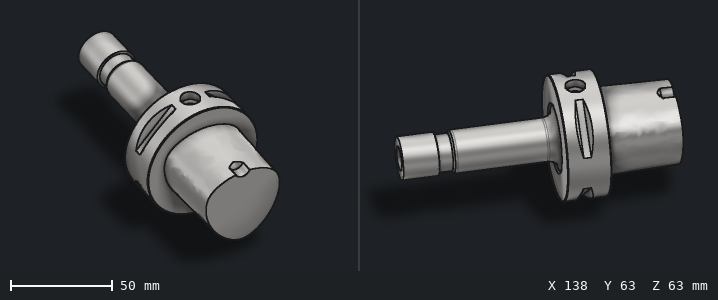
import cadquery as cq
import math


total_length = 138.0
flange_start = 78.0
flange_width = 22.1
flange_end = flange_start + flange_width
taper_length = total_length - flange_end

shank_diameter = 22.0
shank_radius = shank_diameter / 2
head_length = 18.1
neck_radius = 19.0 / 2
neck_end = 25.1
shoulder_radius = 19.7 / 2
lead_in_length = 1.0
lead_in_radius = 10.6
lead_in_end = 27.2
relief_start = 72.2
fillet_start = 73.1
fillet_foot_radius = 21.8 / 2

flange_diameter = 63.0
flange_radius = flange_diameter / 2
flange_chamfer = 0.4
fillet_radius = 5.7
face_recess_radius = 17.5

bore_radius = 12.3 / 2
bore_depth = 3.5
bore_step_length = 0.5
drill_radius = 11.3 / 2
drill_depth = 19.3
drill_tip_angle = 118.0

taper_mean_radius = 22.1
taper_lobe = 1.4
taper_slope = 0.025
taper_points = 48

groove_center_x = flange_start + 10.2
slot_floor_distance = 28.0
slot_floor_width = 3.7
slot_wall_angle = 30.0
slot_angles = (45, 135, 225, 315)

pocket_diameter = 10.0
pocket_depth = 4.8
pilot_radius = 4.0 / 2
pilot_depth = 3.5

key_radius = 4.3
key_length = 6.5
key_axis_height = 21.3
key_tip_angle = 108.0


def tip_length(radius, included_angle):
    """Height of a drill point of the given radius."""
    return radius / math.tan(math.radians(included_angle / 2))


def make_turned_body():
    """Shank and flange revolved about X."""
    fillet_center_radius = fillet_foot_radius + fillet_radius
    arc_middle = (
        fillet_start + fillet_radius * math.sin(math.pi / 4),
        fillet_center_radius - fillet_radius * math.cos(math.pi / 4),
    )
    profile = (
        cq.Workplane("XY")
        .moveTo(0, 0)
        .lineTo(0, shank_radius)
        .lineTo(head_length, shank_radius)
        .lineTo(head_length, neck_radius)
        .lineTo(neck_end, neck_radius)
        .lineTo(neck_end, shoulder_radius)
        .lineTo(neck_end + lead_in_length, lead_in_radius)
        .lineTo(lead_in_end, shank_radius)
        .lineTo(relief_start, shank_radius)
        .lineTo(fillet_start, fillet_foot_radius)
        .threePointArc(arc_middle, (fillet_start + fillet_radius, fillet_center_radius))
        .lineTo(flange_start, face_recess_radius)
        .lineTo(flange_start, flange_radius - flange_chamfer)
        .lineTo(flange_start + flange_chamfer, flange_radius)
        .lineTo(flange_end - flange_chamfer, flange_radius)
        .lineTo(flange_end, flange_radius - flange_chamfer)
        .lineTo(flange_end, 0)
        .close()
    )
    return profile.revolve(360, (0, 0, 0), (1, 0, 0))


def lobed_outline(mean_radius):
    """Points of a rounded three-lobed polygon with one lobe pointing to -Z."""
    points = []
    for index in range(taper_points):
        angle = 2 * math.pi * index / taper_points
        down = (mean_radius * math.cos(angle)
                + taper_lobe * (2 * math.cos(2 * angle) - math.cos(4 * angle)))
        across = (mean_radius * math.sin(angle)
                  - taper_lobe * (2 * math.sin(2 * angle) + math.sin(4 * angle)))
        points.append((across, -down))
    return points


def make_taper():
    """Polygonal taper shrinking evenly from the flange to the far end."""
    end_radius = taper_mean_radius - taper_slope * taper_length
    return (
        cq.Workplane("YZ", origin=(flange_end, 0, 0))
        .spline(lobed_outline(taper_mean_radius), periodic=True)
        .close()
        .workplane(offset=taper_length)
        .spline(lobed_outline(end_radius), periodic=True)
        .close()
        .loft(ruled=True)
    )


def make_bore():
    """Stepped blind bore with a conical bottom, open at X = 0."""
    drill_tip = drill_depth + tip_length(drill_radius, drill_tip_angle)
    profile = [
        (0, 0),
        (0, bore_radius),
        (bore_depth, bore_radius),
        (bore_depth + bore_step_length, drill_radius),
        (drill_depth, drill_radius),
        (drill_tip, 0),
    ]
    return cq.Workplane("XY").polyline(profile).close().revolve(360, (0, 0, 0), (1, 0, 0))


def make_slot(angle):
    """Flat-bottomed chordal slot with flared walls, turned about X."""
    height = flange_radius - slot_floor_distance
    floor_half = slot_floor_width / 2
    top_half = floor_half + height * math.tan(math.radians(slot_wall_angle))
    section = [
        (groove_center_x - floor_half, slot_floor_distance),
        (groove_center_x + floor_half, slot_floor_distance),
        (groove_center_x + top_half, flange_radius),
        (groove_center_x - top_half, flange_radius),
    ]
    slot = cq.Workplane("XZ").polyline(section).close().extrude(flange_radius, both=True)
    return slot.rotate((0, 0, 0), (1, 0, 0), angle)


def make_pocket():
    """Flat-bottomed round pocket on top of the flange with a pointed pilot hole."""
    floor_z = flange_radius - pocket_depth
    pilot_z = floor_z - pilot_depth
    pilot_tip_z = pilot_z - tip_length(pilot_radius, drill_tip_angle)
    profile = [
        (0, flange_radius),
        (pocket_diameter / 2, flange_radius),
        (pocket_diameter / 2, floor_z),
        (pilot_radius, floor_z),
        (pilot_radius, pilot_z),
        (0, pilot_tip_z),
    ]
    return (
        cq.Workplane("XZ", origin=(groove_center_x, 0, 0))
        .polyline(profile)
        .close()
        .revolve(360, (0, 0, 0), (0, 1, 0))
    )


def make_keyway():
    """Round groove along X with a pointed inner end, open at the taper end."""
    key_start = total_length - key_length
    profile = [
        (key_start - tip_length(key_radius, key_tip_angle), 0),
        (key_start, key_radius),
        (total_length, key_radius),
        (total_length, 0),
    ]
    return (
        cq.Workplane("XZ", origin=(0, 0, key_axis_height))
        .polyline(profile)
        .close()
        .revolve(360, (0, 0, 0), (1, 0, 0))
    )


result = make_turned_body().union(make_taper())
result = result.cut(make_bore())
for slot_angle in slot_angles:
    result = result.cut(make_slot(slot_angle))
result = result.cut(make_pocket())
result = result.cut(make_keyway())